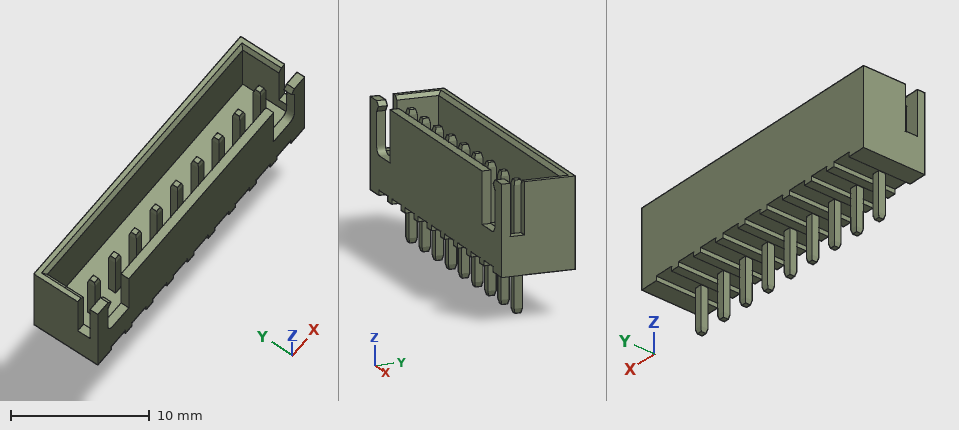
import cadquery as cq

length = 25.0
depth = 5.75
height = 7.0

wall = 0.7
floor_height = 2.0
rim_chamfer = 0.3

opening_depth = 4.0
side_slot_width = 1.1
window_width = 2.5
window_end = 1.25
window_fillet = 0.6
lip_reach = 0.35
lip_tip_depth = 0.35
lip_height = 0.8

pin_count = 9
pitch = 2.5
pin_width = 0.65
pin_row_y = 2.2
pin_below = 3.5
pin_top_gap = 0.5
tip_length = 0.38
tip_inset = 0.1

notch_width = 1.7
notch_height = 0.4

half_length = length / 2
opening_floor = height - opening_depth
pin_positions = [(i - (pin_count - 1) / 2) * pitch for i in range(pin_count)]


def block(x_range, y_range, z_range):
    """Box between the given limits on each axis."""
    size = [high - low for low, high in (x_range, y_range, z_range)]
    corner = (x_range[0], y_range[0], z_range[0])
    return cq.Workplane("XY").box(*size, centered=False).translate(corner)


def make_cavity():
    """Open-topped cavity with a chamfered rim on the back and side walls."""
    half_cavity = half_length - wall
    cavity_back = depth - wall
    cavity = block((-half_cavity, half_cavity), (wall, cavity_back), (floor_height, height))

    cavity_depth = cavity_back - wall
    flare = (
        cq.Workplane("XY")
        .workplane(offset=height)
        .center(0, wall)
        .rect(2 * (half_cavity + rim_chamfer), 2 * (cavity_depth + rim_chamfer))
        .workplane(offset=-rim_chamfer)
        .rect(2 * half_cavity, 2 * cavity_depth)
        .loft(ruled=True)
    )
    behind_front_wall = block((-half_length, half_length), (wall, depth), (0, height))
    return cavity.union(flare.intersect(behind_front_wall))


def make_side_slots():
    """Slots through both side walls, directly behind the front wall."""
    return block(
        (-half_length, half_length),
        (wall, wall + side_slot_width),
        (opening_floor, height),
    )


def make_left_window():
    """Window through the front wall, narrowed near the top by a pointed latch lip."""
    outer_x = -half_length + window_end
    inner_x = outer_x + window_width
    window = (
        cq.Workplane("XZ")
        .moveTo(inner_x, height)
        .lineTo(outer_x, height)
        .lineTo(outer_x + lip_reach, height - lip_tip_depth)
        .lineTo(outer_x, height - lip_height)
        .lineTo(outer_x, opening_floor)
        .lineTo(inner_x, opening_floor)
        .close()
        .extrude(-wall)
    )
    lower_outer_corner = cq.selectors.NearestToPointSelector((outer_x, wall / 2, opening_floor))
    return window.edges("|Y").edges(lower_outer_corner).fillet(window_fillet)


def make_notch(x):
    """Notch across the full depth of the underside."""
    return block((x - notch_width / 2, x + notch_width / 2), (0, depth), (0, notch_height))


def make_tip(x, base_z, end_z):
    """Tapered end of a pin, from the full width at base_z to the narrow end at end_z."""
    end_width = pin_width - 2 * tip_inset
    return (
        cq.Workplane("XY", origin=(x, pin_row_y, base_z))
        .rect(pin_width, pin_width)
        .workplane(offset=end_z - base_z)
        .rect(end_width, end_width)
        .loft(ruled=True)
    )


def make_pin(x):
    """Square pin with a tapered tip at each end."""
    bottom = -pin_below
    top = height - pin_top_gap
    shank_bottom = bottom + tip_length
    shank_top = top - tip_length
    shank = (
        cq.Workplane("XY", origin=(x, pin_row_y, shank_bottom))
        .rect(pin_width, pin_width)
        .extrude(shank_top - shank_bottom)
    )
    lower_tip = make_tip(x, shank_bottom, bottom)
    upper_tip = make_tip(x, shank_top, top)
    return shank.union(lower_tip).union(upper_tip)


def make_housing():
    body = block((-half_length, half_length), (0, depth), (0, height))
    left_window = make_left_window()
    body = body.cut(make_cavity()).cut(make_side_slots())
    body = body.cut(left_window).cut(left_window.mirror("YZ"))
    for x in pin_positions:
        body = body.cut(make_notch(x))
    return body


result = make_housing()
for pin_x in pin_positions:
    result = result.union(make_pin(pin_x))